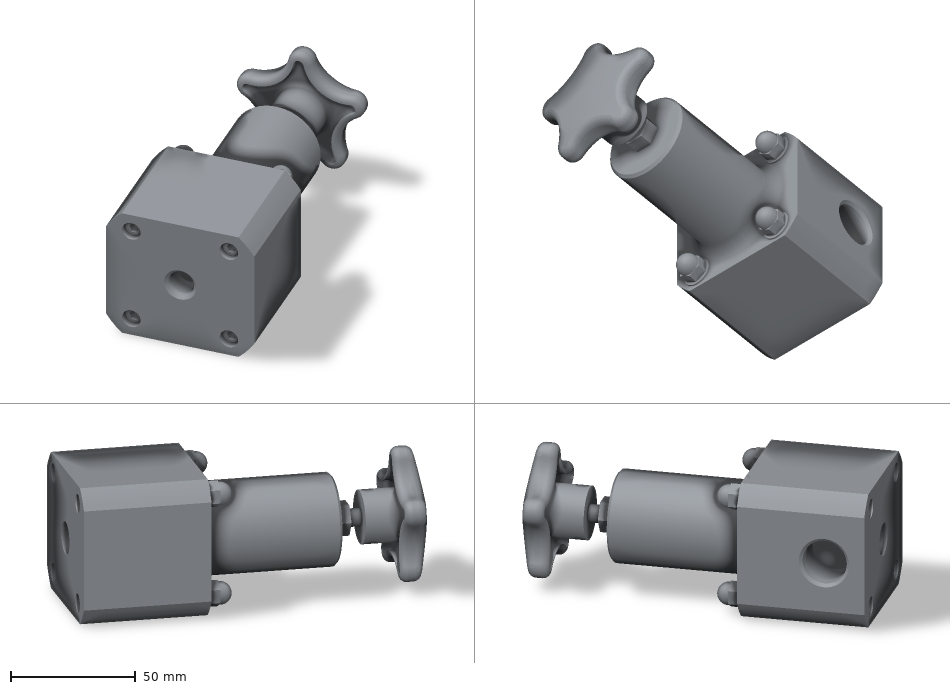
import cadquery as cq
import math


block_width = 63.5
block_height = 57.1
block_length = 52.6
block_corner_radius = 38.0

inlet_diameter = 11.1
inlet_mouth_diameter = 13.7
inlet_depth = 11.7
side_port_diameter = 18.3
side_port_mouth_diameter = 20.7
side_port_depth = 17.5
side_port_y = 16.6

screw_offset = 20.9
screw_recess_diameter = 7.9
screw_recess_depth = 6.1
screw_head_diameter = 7.5
screw_head_height = 3.7
screw_head_chamfer = 0.5
socket_flats = 3.8
socket_depth = 1.8
socket_tip_depth = 1.2
washer_diameter = 12.7
washer_thickness = 0.7
nut_flats = 9.6
nut_height = 4.4
cap_diameter = 9.5
cap_collar_height = 0.9

bonnet_diameter = 38.1
bonnet_end_y = 109.8
bonnet_flare_radius = 6.0
bonnet_chamfer = 1.2
jam_nut_flats = 12.7
jam_nut_height = 6.3
stem_diameter = 7.5

wheel_end_y = 146.0
wheel_thickness = 12.1
wheel_radius = 28.5
wheel_lobes = 5
lobe_radius = 5.3
lobe_flare_angle = 11.0
crown_sphere_radius = 105.1
wheel_top_fillet = 3.2
wheel_bottom_fillet = 2.9
hub_diameter = 22.0
hub_length = 12.9
pocket_inset = 3.0
pocket_depth = 4.5
pocket_wall_fillet = 2.0
pocket_hub_fillet = 2.3

wheel_back_y = wheel_end_y - wheel_thickness
hub_front_y = wheel_back_y - hub_length


def plane_at(y):
    """Work plane across the main axis, with local x along X and local y along Z."""
    return cq.Workplane("XZ", origin=(0, y, 0))


def disc(diameter, y, length):
    return plane_at(y).circle(diameter / 2).extrude(-length)


def hexagon(across_flats, y, length, corners_along_z=False):
    """Hexagonal prism along the main axis, with two corners along X or along Z."""
    corners = across_flats / math.cos(math.radians(30))
    prism = plane_at(y).polygon(6, corners).extrude(-length)
    return prism.rotate((0, 0, 0), (0, 1, 0), 90 if corners_along_z else 0)


def make_block():
    block = plane_at(0).rect(block_width, block_height).extrude(-block_length)
    return block.intersect(disc(2 * block_corner_radius, 0, block_length))


def make_port(diameter, mouth_diameter, depth):
    """Blind hole along +Z from the origin with a 45 degree countersunk mouth."""
    radius = diameter / 2
    mouth_radius = mouth_diameter / 2
    outline = [
        (0, 0),
        (mouth_radius, 0),
        (radius, mouth_radius - radius),
        (radius, depth),
        (0, depth),
    ]
    return cq.Workplane("XZ").polyline(outline).close().revolve(360, (0, 0), (0, 1))


def make_screw_head():
    head_y = screw_recess_depth - screw_head_height
    head = disc(screw_head_diameter, head_y, screw_head_height).faces("<Y").chamfer(screw_head_chamfer)
    head = head.cut(hexagon(socket_flats, head_y, socket_depth))
    tip_start = cq.Vector(0, head_y + socket_depth, 0)
    drill_tip = cq.Solid.makeCone(socket_flats / 2, 0, socket_tip_depth, tip_start, cq.Vector(0, 1, 0))
    return head.cut(cq.Workplane(drill_tip))


def make_cap_nut():
    nut_y = block_length + washer_thickness
    collar_y = nut_y + nut_height
    dome_y = collar_y + cap_collar_height
    nut = disc(washer_diameter, block_length, washer_thickness)
    nut = nut.union(hexagon(nut_flats, nut_y, nut_height, corners_along_z=True))
    nut = nut.union(disc(cap_diameter, collar_y, cap_collar_height))
    dome = cq.Workplane("XY").sphere(cap_diameter / 2).translate((0, dome_y, 0))
    return nut.union(dome.intersect(disc(cap_diameter, nut_y, nut_height + cap_diameter)))


def make_bonnet():
    radius = bonnet_diameter / 2
    flare = bonnet_flare_radius
    arc_inset = flare * (1 - math.sqrt(0.5))
    profile = (
        cq.Workplane("XY")
        .moveTo(0, block_length)
        .lineTo(radius + flare, block_length)
        .threePointArc(
            (radius + arc_inset, block_length + arc_inset),
            (radius, block_length + flare),
        )
        .lineTo(radius, bonnet_end_y - bonnet_chamfer)
        .lineTo(radius - bonnet_chamfer, bonnet_end_y)
        .lineTo(0, bonnet_end_y)
        .close()
    )
    return profile.revolve(360, (0, 0), (0, 1))


def make_stem():
    stem = disc(stem_diameter, bonnet_end_y, hub_front_y - bonnet_end_y)
    return stem.union(hexagon(jam_nut_flats, bonnet_end_y, jam_nut_height))


def polar(radius, angle):
    return (radius * math.cos(angle), radius * math.sin(angle))


def star(tip_radius, tip_rounding):
    """Closed star outline of round lobes joined by tangent hollow arcs, one lobe pointing along +Z."""
    half_pitch = math.pi / wheel_lobes
    flare = math.radians(lobe_flare_angle)
    lobe_centre = tip_radius - tip_rounding
    hollow_centre = lobe_centre / (math.cos(half_pitch) - math.tan(flare) * math.sin(half_pitch))
    hollow_radius = hollow_centre * math.sin(half_pitch) / math.cos(flare) - tip_rounding
    valley_radius = hollow_centre - hollow_radius
    joint_along = lobe_centre + tip_rounding * math.sin(flare)
    joint_across = tip_rounding * math.cos(flare)
    joint_radius = math.hypot(joint_along, joint_across)
    joint_angle = math.atan2(joint_across, joint_along)

    outline = plane_at(wheel_back_y).moveTo(*polar(joint_radius, math.pi / 2 - joint_angle))
    for lobe in range(wheel_lobes):
        middle = math.pi / 2 + 2 * half_pitch * lobe
        valley = middle + half_pitch
        next_joint = middle + 2 * half_pitch - joint_angle
        outline = outline.threePointArc(polar(tip_radius, middle), polar(joint_radius, middle + joint_angle))
        outline = outline.threePointArc(polar(valley_radius, valley), polar(joint_radius, next_joint))
    return outline.close()


def make_wheel_pocket():
    """Star-shaped pocket in the back of the wheel, around the hub, with rounded floor corners."""
    pocket = star(wheel_radius - pocket_inset, lobe_radius - pocket_inset).extrude(-pocket_depth)
    pocket = pocket.faces(">Y").edges().fillet(pocket_wall_fillet)
    pocket = pocket.cut(disc(hub_diameter, wheel_back_y, pocket_depth))
    hub_edge = pocket.faces(">Y").wires(cq.selectors.LengthNthSelector(0)).edges()
    return hub_edge.fillet(pocket_hub_fillet)


def make_wheel():
    """Star wheel with a domed end, rounded rims, a pocketed back and a plain hub."""
    crown = cq.Workplane("XY").sphere(crown_sphere_radius)
    crown = crown.translate((0, wheel_end_y - crown_sphere_radius, 0))
    wheel = star(wheel_radius, lobe_radius).extrude(-2 * wheel_thickness).intersect(crown)
    wheel = wheel.faces("<Y").edges().fillet(wheel_bottom_fillet)
    wheel = wheel.faces(">Y").edges().fillet(wheel_top_fillet)
    return wheel.cut(make_wheel_pocket()).union(disc(hub_diameter, hub_front_y, hub_length + pocket_depth))


result = make_block().union(make_bonnet()).union(make_stem()).union(make_wheel())

inlet = make_port(inlet_diameter, inlet_mouth_diameter, inlet_depth).rotate((0, 0, 0), (1, 0, 0), -90)
side_port = make_port(side_port_diameter, side_port_mouth_diameter, side_port_depth)
side_port = side_port.rotate((0, 0, 0), (0, 1, 0), 90).translate((-block_width / 2, side_port_y, 0))
result = result.cut(inlet).cut(side_port)

for x in (-screw_offset, screw_offset):
    for z in (-screw_offset, screw_offset):
        place = (x, 0, z)
        result = result.cut(disc(screw_recess_diameter, 0, screw_recess_depth).translate(place))
        result = result.union(make_screw_head().translate(place))
        result = result.union(make_cap_nut().translate(place))